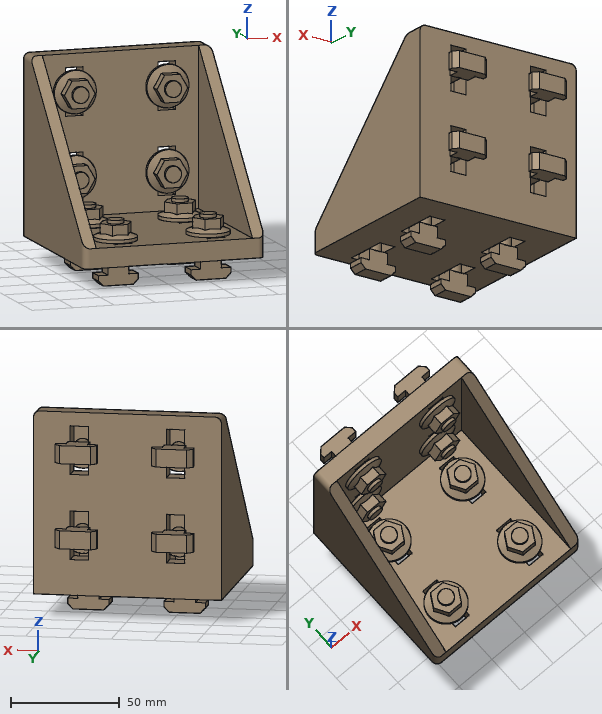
import cadquery as cq
import math

overall_depth = 97.3
bracket_width = 88.0
leg_length = 86.0
plate_thickness = 9.4
rib_thickness = 5.9
corner_radius = 3.0

slot_width = 8.5
slot_length = 22.8
column_pitch = 45.05
near_row = 28.1
row_pitch = 40.0

bolt_diameter = 7.8
bolt_tip_height = 9.6
tee_reach = overall_depth - leg_length
tee_gap = 0.7
tee_neck_width = 10.1
tee_head_width = 19.5
tee_head_thickness = 5.1
tee_head_chamfer = 2.5
tee_breadth = 8.5

nut_height = 8.0
hex_sides = 6
hex_across_flats = 13.0
hex_across_corners = hex_across_flats / math.cos(math.pi / hex_sides)
flange_diameter = 20.4
flange_rim_height = 1.7
flange_slope_angle = 25.0

fastener_spots = [
    (side * column_pitch / 2, near_row + row * row_pitch)
    for side in (-1, 1)
    for row in (0, 1)
]


def bracket_body():
    """Both plates and both ribs, with the free corners rounded."""
    profile = [
        (0, 0),
        (-leg_length, 0),
        (-leg_length, plate_thickness),
        (-plate_thickness, leg_length),
        (0, leg_length),
    ]
    block = cq.Workplane("YZ").polyline(profile).close().extrude(bracket_width / 2, both=True)
    block = block.faces(">Z").edges("|Y").fillet(corner_radius)
    block = block.faces("<Y").edges("|Z").fillet(corner_radius)
    cavity = cq.Workplane("XY").box(
        bracket_width - 2 * rib_thickness, leg_length, leg_length, centered=(True, False, False)
    )
    return block.cut(cavity.translate((0, -leg_length - plate_thickness, plate_thickness)))


def base_slots():
    """Cutters for the slots through the horizontal plate."""
    spots = [(x, -distance) for x, distance in fastener_spots]
    return cq.Workplane("XY").pushPoints(spots).rect(slot_width, slot_length).extrude(plate_thickness)


def flange_nut():
    """Nut resting on Z = 0 with a conical flange below its hexagon."""
    rim = cq.Workplane("XY").circle(flange_diameter / 2).extrude(flange_rim_height)
    cone_run = (flange_diameter - bolt_diameter) / 2
    cone_rise = cone_run * math.tan(math.radians(flange_slope_angle))
    cone = (
        cq.Workplane("XY", origin=(0, 0, flange_rim_height))
        .circle(flange_diameter / 2)
        .workplane(offset=cone_rise)
        .circle(bolt_diameter / 2)
        .loft()
    )
    hexagon = cq.Workplane("XY").polygon(hex_sides, hex_across_corners).extrude(nut_height)
    return rim.union(cone).union(hexagon)


def tee_bolt():
    """Bolt along Z through a plate whose inner face is Z = 0."""
    head_end = -plate_thickness - tee_reach
    neck_end = -plate_thickness - tee_gap
    shank = (
        cq.Workplane("XY", origin=(0, 0, neck_end))
        .circle(bolt_diameter / 2)
        .extrude(bolt_tip_height - neck_end)
    )
    neck = cq.Workplane("XY", origin=(0, 0, head_end)).box(
        tee_neck_width, tee_breadth, neck_end - head_end, centered=(True, True, False)
    )
    head = (
        cq.Workplane("XY", origin=(0, 0, head_end))
        .box(tee_head_width, tee_breadth, tee_head_thickness, centered=(True, True, False))
        .faces("<Z")
        .edges("|Y")
        .chamfer(tee_head_chamfer)
    )
    return shank.union(neck).union(head)


def to_wall(shape):
    """Turn a shape of the horizontal plate to its place on the upright wall."""
    return shape.rotate((0, 0, 0), (1, 0, 0), 90)


fastener = flange_nut().union(tee_bolt())
wall_fastener = to_wall(fastener)

slots = base_slots()
result = bracket_body().cut(slots).cut(to_wall(slots.mirror("XZ")))

for x, distance in fastener_spots:
    result = result.union(fastener.translate((x, -distance, plate_thickness)))
    result = result.union(wall_fastener.translate((x, -plate_thickness, distance)))